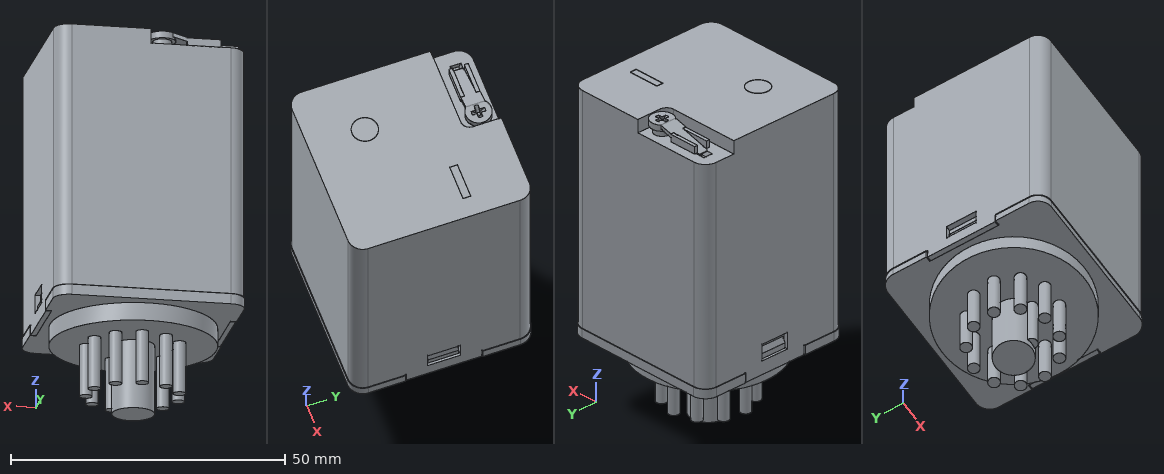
import cadquery as cq
import math

TOP_Z = 68.3
KEY_BOTTOM_Z = 1.5
PIN_BOTTOM_Z = 3.3
DISC_BOTTOM_Z = 13.05
FLANGE_BOTTOM_Z = 16.4
FLANGE_TOP_Z = 18.4

COVER_SIDE = 35.25
COVER_CORNER_RADIUS = 2.9
WALL = 1.0
PLUG_TOP_Z = 23.9

FLANGE_SIDE = 35.5
FLANGE_CORNER_RADIUS = COVER_CORNER_RADIUS + (FLANGE_SIDE - COVER_SIDE) / 2
DISC_DIAMETER = 30.8
POST_DIAMETER = 7.85
KEY_DIAMETER = 2.3
PIN_DIAMETER = 2.3
PIN_CIRCLE_RADIUS = 8.7
PIN_COUNT = 11

NOTCH_WIDTH = 15.0
TAB_GAP = 0.2

WINDOW_WIDTH = 6.4
WINDOW_BOTTOM_Z = 19.25
WINDOW_TOP_Z = 22.75
CATCH_WIDTH = 5.95
CATCH_BOTTOM_Z = 19.4
CATCH_SHOULDER_Z = 20.5
CATCH_TOP_Z = 21.6
CATCH_REACH = 0.6

POCKET_RIGHT_X = 0.1
POCKET_FRONT_Y = 10.3
POCKET_FLOOR_Z = 65.5
POCKET_CORNER_RADIUS = 1.7

LEVER_Y = 14.15
HEAD_X = -2.65
HEAD_DIAMETER = 5.0
HEAD_TOP_Z = TOP_Z
HEAD_BOTTOM_Z = 67.0
STEM_DIAMETER = 3.5
ARM_WIDTH = 3.75
ARM_LEFT_X = -13.25
RAIL_THICKNESS = 0.75
CHANNEL_WIDTH = ARM_WIDTH - 2 * RAIL_THICKNESS
RAIL_RIGHT_X = -7.0
RAIL_TOP_Z = 67.5
ARM_BOTTOM_Z = 65.9
RAMP_START_X = -4.3
TIP_X = -13.65
TIP_TOP_Z = 65.7
TIP_BOTTOM_Z = 65.6
TIP_CHAMFER = 0.3
PLATE_DEPTH = 0.8
RAMP_SLOPE = (HEAD_TOP_Z - TIP_TOP_Z) / (RAMP_START_X - TIP_X)

CROSS_LENGTH = 2.65
CROSS_WIDTH = 0.75
CROSS_DEPTH = 1.1

SLOT_LEFT_X = -14.8
SLOT_LENGTH = 2.2
SLOT_WIDTH = 2.1
SLOT_DEPTH = 1.0
SLOT_WALL_SLANT = 0.4

INDICATOR_DEPTH = 0.1
LAMP_X = -6.2
LAMP_Y = -6.6
LAMP_DIAMETER = 5.0
FLAG_LEFT_X = 6.6
FLAG_LENGTH = 7.05
FLAG_Y = 5.9
FLAG_WIDTH = 1.5


def box(x_min, x_max, y_center, width, z_min, z_max):
    """Upright block between two X limits, centred on y_center."""
    size = (x_max - x_min, width, z_max - z_min)
    corner = (x_min, y_center - width / 2, z_min)
    return cq.Workplane("XY").box(*size, centered=False).translate(corner)


def rounded_block(side, radius, z_min, z_max):
    return (
        cq.Workplane("XY", origin=(0, 0, z_min))
        .rect(side, side)
        .extrude(z_max - z_min)
        .edges("|Z")
        .fillet(radius)
    )


def cylinder(x, y, diameter, z_min, z_max):
    return cq.Workplane("XY", origin=(x, y, z_min)).circle(diameter / 2).extrude(z_max - z_min)


def side_profile(points, y_center, width):
    """XZ outline extruded along Y, centred on y_center."""
    return (
        cq.Workplane("XZ", origin=(0, y_center, 0))
        .polyline(points)
        .close()
        .extrude(width / 2, both=True)
    )


def on_both_sides(shape):
    """The shape together with its mirror image across the YZ plane."""
    return shape.union(shape.mirror("YZ"))


def plug():
    """Upper block of the base, which fills the mouth of the cover."""
    side = COVER_SIDE - 2 * WALL
    return rounded_block(side, COVER_CORNER_RADIUS - WALL, FLANGE_BOTTOM_Z, PLUG_TOP_Z)


def corner_pocket():
    reach = COVER_SIDE
    return (
        cq.Workplane("XY", origin=(POCKET_RIGHT_X, POCKET_FRONT_Y, POCKET_FLOOR_Z))
        .rect(-reach, reach, centered=False)
        .extrude(TOP_Z - POCKET_FLOOR_Z)
        .edges("|Z and >X and <Y")
        .fillet(POCKET_CORNER_RADIUS)
    )


def ramp_height(x):
    """Height of the sloped upper face of the lever arm at a given X."""
    return HEAD_TOP_Z - RAMP_SLOPE * (RAMP_START_X - x)


def wide_ramp():
    """Full-width sloped plate from the head down to the ends of the rails."""
    outline = [
        (RAMP_START_X, HEAD_TOP_Z),
        (RAIL_RIGHT_X, ramp_height(RAIL_RIGHT_X)),
        (RAIL_RIGHT_X, ramp_height(RAIL_RIGHT_X) - PLATE_DEPTH),
        (RAMP_START_X, HEAD_TOP_Z - PLATE_DEPTH),
    ]
    return side_profile(outline, LEVER_Y, ARM_WIDTH)


def narrow_ramp():
    """Sloped floor of the channel, ending in a thin tip with cut corners."""
    level_start_x = RAMP_START_X - (HEAD_TOP_Z - PLATE_DEPTH - TIP_BOTTOM_Z) / RAMP_SLOPE
    outline = [
        (RAMP_START_X, HEAD_TOP_Z),
        (TIP_X, TIP_TOP_Z),
        (TIP_X, TIP_BOTTOM_Z),
        (level_start_x, TIP_BOTTOM_Z),
        (RAMP_START_X, HEAD_TOP_Z - PLATE_DEPTH),
    ]
    return side_profile(outline, LEVER_Y, CHANNEL_WIDTH).edges("|Z and <X").chamfer(TIP_CHAMFER)


def rails():
    """Two walls with level tops that stand along the ramp, with the channel between them."""
    outer = box(ARM_LEFT_X, RAIL_RIGHT_X, LEVER_Y, ARM_WIDTH, ARM_BOTTOM_Z, RAIL_TOP_Z)
    channel = box(ARM_LEFT_X, RAIL_RIGHT_X, LEVER_Y, CHANNEL_WIDTH, ARM_BOTTOM_Z, RAIL_TOP_Z)
    return outer.cut(channel)


def lever_head():
    """Round head whose left end is cut off along the start of the ramp."""
    head = cylinder(HEAD_X, LEVER_Y, HEAD_DIAMETER, HEAD_BOTTOM_Z, HEAD_TOP_Z)
    above_ramp = [
        (RAMP_START_X, HEAD_TOP_Z),
        (TIP_X, HEAD_TOP_Z),
        (TIP_X, TIP_TOP_Z),
    ]
    return head.cut(side_profile(above_ramp, LEVER_Y, HEAD_DIAMETER))


def cross_recess():
    """Two crossed slots bounded by a cone that narrows downwards."""
    cone = (
        cq.Workplane("XY", origin=(HEAD_X, LEVER_Y, HEAD_TOP_Z))
        .circle(CROSS_LENGTH / 2)
        .workplane(offset=-CROSS_DEPTH)
        .circle(CROSS_WIDTH / 2)
        .loft()
    )
    plan = cq.Workplane("XY", origin=(HEAD_X, LEVER_Y, HEAD_TOP_Z - CROSS_DEPTH))
    along_x = plan.rect(CROSS_LENGTH, CROSS_WIDTH).extrude(CROSS_DEPTH)
    along_y = plan.rect(CROSS_WIDTH, CROSS_LENGTH).extrude(CROSS_DEPTH)
    return along_x.union(along_y).intersect(cone)


def lever():
    stem = cylinder(HEAD_X, LEVER_Y, STEM_DIAMETER, POCKET_FLOOR_Z, HEAD_BOTTOM_Z)
    return (
        lever_head()
        .union(stem)
        .union(wide_ramp())
        .union(narrow_ramp())
        .union(rails())
        .cut(cross_recess())
    )


def tip_slot():
    """Slot with sloping long walls in the pocket floor, under the lever tip."""
    half_top = SLOT_WIDTH / 2
    half_bottom = half_top - SLOT_WALL_SLANT
    bottom_z = POCKET_FLOOR_Z - SLOT_DEPTH
    return (
        cq.Workplane("YZ", origin=(SLOT_LEFT_X, LEVER_Y, 0))
        .polyline([
            (-half_top, POCKET_FLOOR_Z),
            (half_top, POCKET_FLOOR_Z),
            (half_bottom, bottom_z),
            (-half_bottom, bottom_z),
        ])
        .close()
        .extrude(SLOT_LENGTH)
    )


def top_recesses():
    """Shallow round and rectangular indicator fields in the top face."""
    floor_z = TOP_Z - INDICATOR_DEPTH
    lamp = cylinder(LAMP_X, LAMP_Y, LAMP_DIAMETER, floor_z, TOP_Z)
    flag_right_x = FLAG_LEFT_X + FLAG_LENGTH
    flag = box(FLAG_LEFT_X, flag_right_x, FLAG_Y, FLAG_WIDTH, floor_z, TOP_Z)
    return lamp.union(flag)


def build_cover():
    half = COVER_SIDE / 2
    body = rounded_block(COVER_SIDE, COVER_CORNER_RADIUS, FLANGE_TOP_Z, TOP_Z)
    tab_width = NOTCH_WIDTH - 2 * TAB_GAP
    tab = box(-half, WALL - half, 0, tab_width, FLANGE_BOTTOM_Z, FLANGE_TOP_Z)
    window = box(-half, WALL - half, 0, WINDOW_WIDTH, WINDOW_BOTTOM_Z, WINDOW_TOP_Z)
    return (
        body.cut(plug())
        .union(on_both_sides(tab))
        .cut(on_both_sides(window))
        .cut(corner_pocket())
        .cut(tip_slot())
        .cut(top_recesses())
        .union(lever())
    )


def catch():
    """Snap catch with a sloped top, standing out from the -X side of the plug."""
    root_x = WALL - COVER_SIDE / 2
    outline = [
        (root_x, CATCH_TOP_Z),
        (root_x - CATCH_REACH, CATCH_SHOULDER_Z),
        (root_x - CATCH_REACH, CATCH_BOTTOM_Z),
        (root_x, CATCH_BOTTOM_Z),
    ]
    return side_profile(outline, 0, CATCH_WIDTH)


def contact_pins():
    """Ring of pins with a gap on the -Y side, where the key sits."""
    pins = cq.Workplane("XY")
    step = 2 * math.pi / PIN_COUNT
    for i in range(PIN_COUNT):
        angle = math.pi / 2 + i * step
        x = PIN_CIRCLE_RADIUS * math.cos(angle)
        y = PIN_CIRCLE_RADIUS * math.sin(angle)
        pins = pins.union(cylinder(x, y, PIN_DIAMETER, PIN_BOTTOM_Z, DISC_BOTTOM_Z))
    return pins


def build_base():
    flange = rounded_block(FLANGE_SIDE, FLANGE_CORNER_RADIUS, FLANGE_BOTTOM_Z, FLANGE_TOP_Z)
    notch = box(-FLANGE_SIDE / 2, WALL - COVER_SIDE / 2, 0, NOTCH_WIDTH, FLANGE_BOTTOM_Z, FLANGE_TOP_Z)
    disc = cylinder(0, 0, DISC_DIAMETER, DISC_BOTTOM_Z, FLANGE_BOTTOM_Z)
    post = cylinder(0, 0, POST_DIAMETER, 0, DISC_BOTTOM_Z)
    key = cylinder(0, -POST_DIAMETER / 2, KEY_DIAMETER, KEY_BOTTOM_Z, DISC_BOTTOM_Z)
    return (
        flange.cut(on_both_sides(notch))
        .union(plug())
        .union(on_both_sides(catch()))
        .union(disc)
        .union(post)
        .union(key)
        .union(contact_pins())
    )


cover = build_cover()
base = build_base()

result = cq.Compound.makeCompound([cover.val(), base.val()])